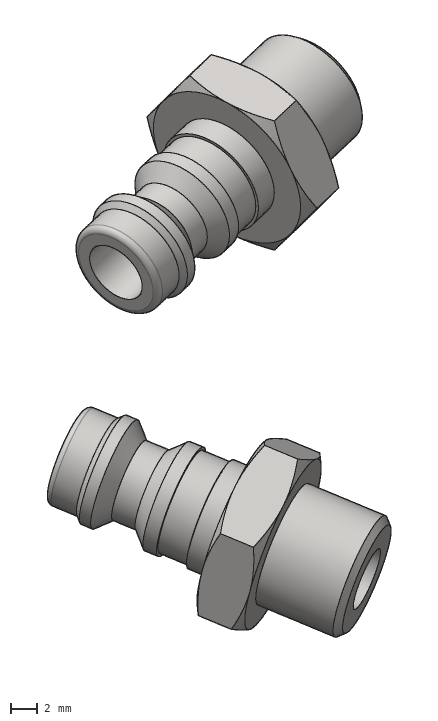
import cadquery as cq
import math

total_length = 25.0
tip_end = 2.6
front_collar_start = 3.05
front_collar_end = 4.0
neck_start = 5.2
neck_end = 7.15
rear_collar_start = 8.35
rear_collar_end = 9.5
groove_end = 12.0
hex_start = 14.0
hex_width = 4.0
hex_end = hex_start + hex_width

tip_radius = 4.05
collar_radius = 4.5
neck_radius = 3.3
groove_radius = 4.25
stud_radius = 5.0
bore_radius = 2.5
hex_across_flats = 14.0

tip_fillet = 0.5
stud_chamfer = 0.55
hex_chamfer_angle = 30.0


def revolve_about_y(profile_points):
    """Revolve a closed (radius, y) outline about the Y axis."""
    return (
        cq.Workplane("XY")
        .polyline(profile_points)
        .close()
        .revolve(360, (0, 0, 0), (0, 1, 0))
    )


def make_tip():
    tip = revolve_about_y([(0, 0), (tip_radius, 0), (tip_radius, tip_end), (0, tip_end)])
    return tip.faces("<Y").edges().fillet(tip_fillet)


def make_plug():
    """Stepped plug body between the tip and the hexagon."""
    return revolve_about_y([
        (0, tip_end),
        (tip_radius, tip_end),
        (collar_radius, front_collar_start),
        (collar_radius, front_collar_end),
        (neck_radius, neck_start),
        (neck_radius, neck_end),
        (collar_radius, rear_collar_start),
        (collar_radius, rear_collar_end),
        (groove_radius, rear_collar_end),
        (groove_radius, groove_end),
        (collar_radius, groove_end),
        (collar_radius, hex_start),
        (0, hex_start),
    ])


def make_hexagon():
    """Hexagon with corners on the X axis, coned off on both faces."""
    corner_radius = hex_across_flats / 2 / math.cos(math.pi / 6)
    face_radius = hex_across_flats / 2
    chamfer_depth = (corner_radius - face_radius) * math.tan(math.radians(hex_chamfer_angle))
    prism = (
        cq.Workplane("XZ", origin=(0, hex_end, 0))
        .polygon(6, 2 * corner_radius)
        .extrude(hex_width)
    )
    cone_envelope = revolve_about_y([
        (0, hex_start),
        (face_radius, hex_start),
        (corner_radius, hex_start + chamfer_depth),
        (corner_radius, hex_end - chamfer_depth),
        (face_radius, hex_end),
        (0, hex_end),
    ])
    return prism.intersect(cone_envelope)


def make_stud():
    return revolve_about_y([
        (0, hex_end),
        (stud_radius, hex_end),
        (stud_radius, total_length - stud_chamfer),
        (stud_radius - stud_chamfer, total_length),
        (0, total_length),
    ])


def make_bore():
    return revolve_about_y([
        (0, 0),
        (bore_radius, 0),
        (bore_radius, total_length),
        (0, total_length),
    ])


body = make_tip().union(make_plug()).union(make_hexagon()).union(make_stud())
result = body.cut(make_bore())